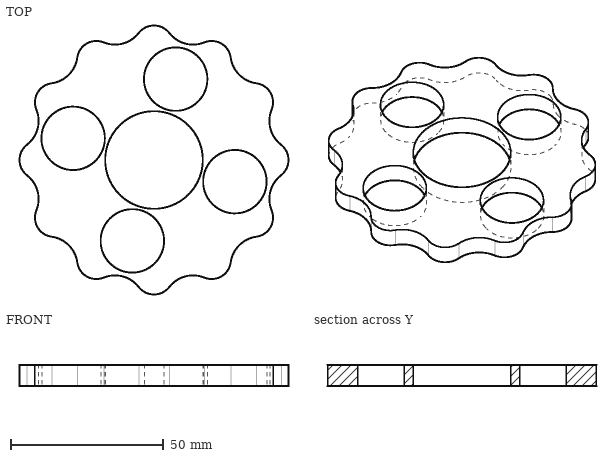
import cadquery as cq
import math

outer_diameter = 88.4
thickness = 7.0

lobe_count = 12
lobe_radius = 6.4
valley_floor_radius = 39.6

center_hole_diameter = 32.0
side_hole_diameter = 20.8
side_hole_count = 4
side_hole_circle_radius = 27.5
first_side_hole_angle = -15.0

outer_radius = outer_diameter / 2
lobe_center_radius = outer_radius - lobe_radius
lobe_pitch = 360.0 / lobe_count
half_pitch = lobe_pitch / 2

lobe_center_along_valley = lobe_center_radius * math.cos(math.radians(half_pitch))
floor_to_lobe_center_squared = (
    valley_floor_radius**2
    + lobe_center_radius**2
    - 2 * valley_floor_radius * lobe_center_along_valley
)
valley_radius = (floor_to_lobe_center_squared - lobe_radius**2) / (
    2 * (lobe_radius + lobe_center_along_valley - valley_floor_radius)
)
valley_center_radius = valley_floor_radius + valley_radius


def polar(radius, angle):
    """Point at a radius and an angle in degrees from +X."""
    return (
        radius * math.cos(math.radians(angle)),
        radius * math.sin(math.radians(angle)),
    )


def tangent_point(lobe_angle, valley_angle):
    """Point where a lobe arc runs into the neighbouring valley arc."""
    lobe_x, lobe_y = polar(lobe_center_radius, lobe_angle)
    valley_x, valley_y = polar(valley_center_radius, valley_angle)
    share = lobe_radius / (lobe_radius + valley_radius)
    return (
        lobe_x + share * (valley_x - lobe_x),
        lobe_y + share * (valley_y - lobe_y),
    )


def draw_rim():
    """Closed scalloped outline, centred on the origin."""
    outline = cq.Workplane("XY").moveTo(*tangent_point(0, -half_pitch))
    for index in range(lobe_count):
        lobe_angle = index * lobe_pitch
        valley_angle = lobe_angle + half_pitch
        lobe_end = tangent_point(lobe_angle, valley_angle)
        valley_end = tangent_point(lobe_angle + lobe_pitch, valley_angle)
        outline = outline.threePointArc(polar(outer_radius, lobe_angle), lobe_end)
        outline = outline.threePointArc(polar(valley_floor_radius, valley_angle), valley_end)
    return outline.close()


def add_holes(outline):
    """Central hole and the ring of side holes, as circles inside the outline."""
    side_hole_pitch = 360.0 / side_hole_count
    side_hole_centers = [
        polar(side_hole_circle_radius, first_side_hole_angle + index * side_hole_pitch)
        for index in range(side_hole_count)
    ]
    outline = outline.moveTo(0, 0).circle(center_hole_diameter / 2)
    return outline.pushPoints(side_hole_centers).circle(side_hole_diameter / 2)


result = add_holes(draw_rim()).extrude(thickness)